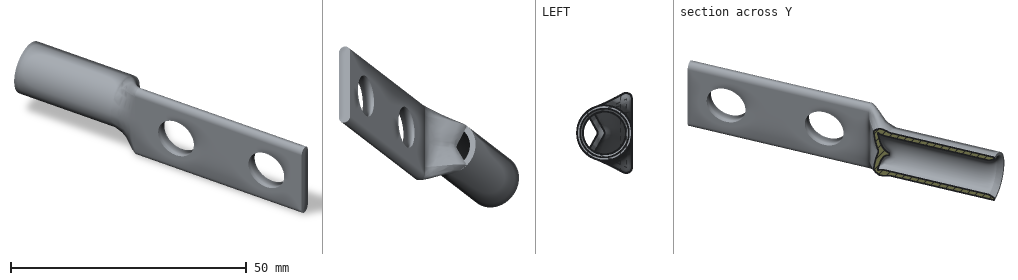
import cadquery as cq
import math

LENGTH = 70.9

BARREL_DIAMETER = 11.7
BARREL_RADIUS = BARREL_DIAMETER / 2
BORE_RADIUS = 4.55
BARREL_LENGTH = 23.8
WALL = BARREL_RADIUS - BORE_RADIUS
INLET_FLARE = 0.65
INLET_DEPTH = 1.3

TONGUE_START = 29.8
TONGUE_WIDTH = 17.0
TONGUE_THICKNESS = 2.55
TONGUE_BACK = -BARREL_RADIUS
TONGUE_MID = TONGUE_BACK + TONGUE_THICKNESS / 2
TONGUE_FRONT = TONGUE_BACK + TONGUE_THICKNESS
EDGE_RADIUS = TONGUE_THICKNESS / 2
FLAT_HALF = TONGUE_WIDTH / 2 - EDGE_RADIUS
HOLE_DIAMETER = 8.8
FIRST_HOLE_X = 39.9
HOLE_PITCH = 22.25
HOLE_COUNT = 2

FOLD_TIP_Y = 3.8
FOLD_APEX_Y = 1.35
SHOULDER_Y = 2.35
BEND_SHARE = 0.1
TIP_SHARE = 0.8
SLIT_GAP = 0.15
LEG_SHARES = (0.3, 0.6, 0.8, 1 - BEND_SHARE)
NECK_STEPS = 4


def on_barrel(y):
    """Point (y, z) on the upper half of the barrel's outer circle."""
    return (y, math.sqrt(BARREL_RADIUS**2 - y**2))


def edge_share(t):
    """Progress of the rounded edges and back, softened at both ends."""
    smooth_step = t * t * (3 - 2 * t)
    return (t + smooth_step) / 2


def fold_share(t):
    """Progress of the fold, which leaves the barrel level and then drops."""
    return t * t * (2 - t)


def blend(start, end, share):
    """Point part of the way from a barrel-end point to a tongue-end point."""
    return tuple(a + (b - a) * share for a, b in zip(start, end))


def mirror(point):
    """Reflect a (y, z) point in the plane of symmetry, z = 0."""
    return (point[0], -point[1])


def add_fold(outline, tip, apex):
    """Draw a V from tip to mirrored tip as one smooth curve with a rounded apex."""
    half_angle = math.atan2(tip[1], tip[0] - apex[0])
    bend_length = math.dist(tip, apex) * BEND_SHARE
    crown = (apex[0] + bend_length * (1 - math.sin(half_angle)) / math.cos(half_angle), 0)
    leg = [blend(tip, apex, share) for share in LEG_SHARES]
    mirrored_leg = [mirror(point) for point in reversed(leg)]
    return outline.spline([*leg, crown, *mirrored_leg, mirror(tip)], includeCurrent=True)


def neck_plane(t):
    """Section plane across the neck: local x is +Y, local y is +Z."""
    x = BARREL_LENGTH + (TONGUE_START - BARREL_LENGTH) * t
    return cq.Plane(origin=(x, 0, 0), xDir=(0, 1, 0), normal=(1, 0, 0))


def loft_neck(section):
    """Loft a section function from the barrel end to the tongue."""
    wires = [section(step / NECK_STEPS) for step in range(NECK_STEPS + 1)]
    return cq.Workplane(obj=cq.Solid.makeLoft(wires))


def outer_section(t):
    """Barrel arc closed by the fold, turning into the rounded tongue section."""
    edge, fold = edge_share(t), fold_share(t)
    back = blend(on_barrel(-SHOULDER_Y), (TONGUE_BACK, FLAT_HALF), edge)
    side = blend((0, BARREL_RADIUS), (TONGUE_MID, TONGUE_WIDTH / 2), edge)
    front = blend(on_barrel(SHOULDER_Y), (TONGUE_FRONT, FLAT_HALF), edge)
    tip = blend(on_barrel(FOLD_TIP_Y), (TONGUE_FRONT, FLAT_HALF * TIP_SHARE), fold)
    apex = blend((FOLD_APEX_Y, 0), (TONGUE_FRONT, 0), fold)
    outline = cq.Workplane(neck_plane(t)).moveTo(*mirror(back))
    if t < 1:
        outline = outline.threePointArc((TONGUE_BACK, 0), back)
    else:
        outline = outline.lineTo(*back)
    outline = outline.threePointArc(side, front).lineTo(*tip)
    outline = add_fold(outline, tip, apex).lineTo(*mirror(front))
    return outline.threePointArc(mirror(side), mirror(back)).wire().val()


def inner_section(t):
    """Bore arc closed by the inside of the fold, pinched to a slit at the tongue."""
    edge, fold = edge_share(t), fold_share(t)
    tip_y, tip_z = on_barrel(FOLD_TIP_Y)
    run = tip_y - FOLD_APEX_Y
    leg = math.hypot(run, tip_z)
    inner_apex_y = FOLD_APEX_Y - WALL * leg / tip_z
    reach = math.sqrt(BORE_RADIUS**2 - (inner_apex_y * tip_z / leg) ** 2) - inner_apex_y * run / leg
    bore_corner = (inner_apex_y + reach * run / leg, reach * tip_z / leg)

    corner = blend(bore_corner, (TONGUE_MID, FLAT_HALF), fold)
    apex = blend((inner_apex_y, 0), (TONGUE_MID + SLIT_GAP / 2, 0), fold)
    back = blend((-BORE_RADIUS, 0), (TONGUE_MID - SLIT_GAP / 2, 0), edge)
    outline = cq.Workplane(neck_plane(t)).moveTo(*mirror(corner))
    outline = outline.threePointArc(back, corner)
    return add_fold(outline, corner, apex).wire().val()


def make_barrel():
    tube = cq.Workplane("YZ").circle(BARREL_RADIUS).circle(BORE_RADIUS).extrude(BARREL_LENGTH)
    flare = cq.Solid.makeCone(
        BORE_RADIUS + INLET_FLARE, BORE_RADIUS, INLET_DEPTH, cq.Vector(0, 0, 0), cq.Vector(1, 0, 0)
    )
    return tube.cut(cq.Workplane(obj=flare))


def make_tongue():
    profile = cq.Workplane(neck_plane(1)).center(TONGUE_MID, 0)
    tongue = profile.slot2D(TONGUE_WIDTH, TONGUE_THICKNESS, 90).extrude(LENGTH - TONGUE_START)
    for index in range(HOLE_COUNT):
        hole_x = FIRST_HOLE_X + index * HOLE_PITCH
        hole = cq.Solid.makeCylinder(
            HOLE_DIAMETER / 2, TONGUE_THICKNESS, cq.Vector(hole_x, TONGUE_BACK, 0), cq.Vector(0, 1, 0)
        )
        tongue = tongue.cut(cq.Workplane(obj=hole))
    return tongue


neck = loft_neck(outer_section).cut(loft_neck(inner_section))
result = make_barrel().union(neck).union(make_tongue())